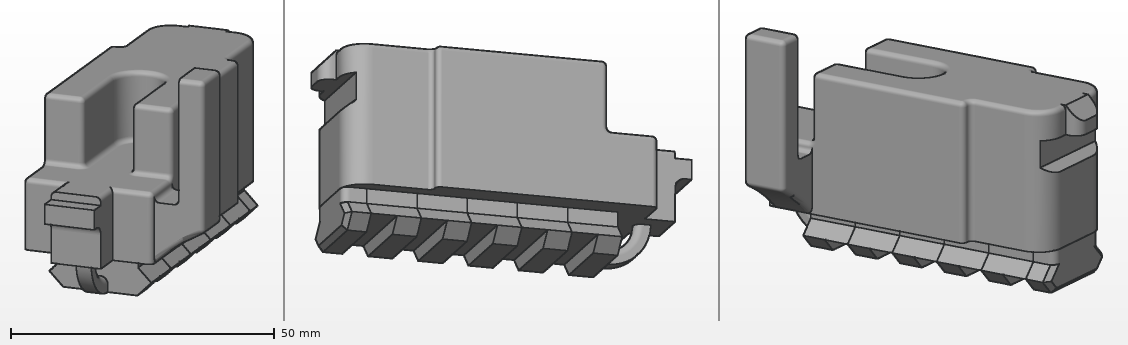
import cadquery as cq


OVERALL_LENGTH = 73.6
HOUSING_HALF_WIDTH = 13.2
HOUSING_HEIGHT = 28.1
SHOULDER_Y = 44.1
NOSE_HALF_WIDTH = 10.75
NOSE_END_Y = 61.15
NOSE_CORNER_RADIUS = 5.0
EDGE_RADIUS = 1.0

FLOOR_Z = 14.2
STEP_WALL_Y = 10.0
SLOT_HALF_WIDTH = 5.0
SLOT_ARC_CENTER_Y = 25.55

HOOK_HALF_WIDTH = 4.0
HOOK_TIP_Y = 64.25
HOOK_CORNER_RADIUS = 2.3
UNDERCUT_TOP_Z = 22.2
UNDERCUT_DEPTH = 2.05
UNDERCUT_WALL_BOTTOM_Z = 16.85
UNDERCUT_BOTTOM_Z = 15.4

STEM_HALF_WIDTH = 5.1
STEM_END_Y = -6.0
TAB_END_Y = HOOK_TIP_Y - OVERALL_LENGTH
TAB_TOP_Z = 12.6
TAB_BOTTOM_Z = 8.7
TAB_FILLET_RADIUS = 2.0

ARM_OUTER_X = 23.25
ARM_INNER_X = 18.2
ARM_TOP_Z = 37.1
ARM_FLOOR_Z = FLOOR_Z - 2 * EDGE_RADIUS
ARM_CORNER_Z = 7.1
ARM_UNDERSIDE_RADIUS = 40.05
ARM_REAR_Y = EDGE_RADIUS
ARM_FRONT_Y = STEP_WALL_Y

RAIL_SEGMENTS = 6
RAIL_PITCH = 10.0
TOOTH_LENGTH = 4.85
RAIL_FRONT_Y = NOSE_END_Y
RAIL_REAR_Y = RAIL_FRONT_Y - (RAIL_SEGMENTS - 1) * RAIL_PITCH - TOOTH_LENGTH
NECK_HALF_WIDTH = 7.7
NECK_BOTTOM_Z = -2.95
DOVETAIL_HALF_WIDTH = 10.45
DOVETAIL_WIDEST_Z = NECK_BOTTOM_Z - (DOVETAIL_HALF_WIDTH - NECK_HALF_WIDTH)
RAIL_BOTTOM_Z = -8.55
RAIL_BOTTOM_HALF_WIDTH = DOVETAIL_HALF_WIDTH - (DOVETAIL_WIDEST_Z - RAIL_BOTTOM_Z)
RAIL_FRONT_CHAMFER = 1.0
NECK_FRONT_RADIUS = 1.5

GUARD_WIDTH = 3.1

OVERLAP = 3.7
MARGIN = 0.1


def block(x_range, y_range, z_range):
    """Box between the given limits."""
    size = [high - low for low, high in (x_range, y_range, z_range)]
    corner = (x_range[0], y_range[0], z_range[0])
    return cq.Workplane("XY").box(*size, centered=False).translate(corner)


def side_prism(points, half_width):
    """Prism across X, centred on X = 0, from (Y, Z) points."""
    return cq.Workplane("YZ").polyline(points).close().extrude(half_width, both=True)


def make_shell():
    """Main block with nose, step and slot, all edges above its bottom rounded."""
    wide = block(
        (-HOUSING_HALF_WIDTH, HOUSING_HALF_WIDTH), (0, SHOULDER_Y), (0, HOUSING_HEIGHT))
    nose = block(
        (-NOSE_HALF_WIDTH, NOSE_HALF_WIDTH), (SHOULDER_Y - OVERLAP, NOSE_END_Y), (0, HOUSING_HEIGHT))
    nose = nose.edges("|Z and >Y").fillet(NOSE_CORNER_RADIUS)
    shell = wide.union(nose)
    reach = HOUSING_HALF_WIDTH + OVERLAP
    shoulders = cq.selectors.BoxSelector(
        (-reach, SHOULDER_Y - MARGIN, 0), (reach, SHOULDER_Y + MARGIN, HOUSING_HEIGHT))
    shell = shell.edges(shoulders).edges("|Z").fillet(EDGE_RADIUS)

    cut_top = HOUSING_HEIGHT + OVERLAP
    step = block((-reach, reach), (-OVERLAP, STEP_WALL_Y), (FLOOR_Z, cut_top))
    slot = (
        cq.Workplane("XY", origin=(0, 0, FLOOR_Z))
        .moveTo(-SLOT_HALF_WIDTH, 0)
        .lineTo(-SLOT_HALF_WIDTH, SLOT_ARC_CENTER_Y)
        .threePointArc((0, SLOT_ARC_CENTER_Y + SLOT_HALF_WIDTH), (SLOT_HALF_WIDTH, SLOT_ARC_CENTER_Y))
        .lineTo(SLOT_HALF_WIDTH, 0)
        .close()
        .extrude(cut_top - FLOOR_Z)
    )
    shell = shell.cut(step.union(slot))

    slot_mouth = cq.selectors.BoxSelector(
        (-SLOT_HALF_WIDTH - MARGIN, STEP_WALL_Y - MARGIN, FLOOR_Z),
        (SLOT_HALF_WIDTH + MARGIN, STEP_WALL_Y + MARGIN, HOUSING_HEIGHT))
    shell = shell.edges(slot_mouth).edges("|Z").fillet(EDGE_RADIUS)
    wall_foot = cq.selectors.BoxSelector(
        (-reach, STEP_WALL_Y - MARGIN, FLOOR_Z - MARGIN),
        (reach, SHOULDER_Y, FLOOR_Z + MARGIN), boundingbox=True)
    shell = shell.edges(wall_foot).fillet(EDGE_RADIUS)

    shell = shell.edges("|Z and <Y").fillet(EDGE_RADIUS)
    step_box = cq.selectors.BoxSelector(
        (-reach, -MARGIN, FLOOR_Z - MARGIN),
        (reach, STEP_WALL_Y + MARGIN, HOUSING_HEIGHT), boundingbox=True)
    step_sides = shell.faces("<X or >X").edges(step_box)
    return shell.faces(">Z").edges().add(step_sides).fillet(EDGE_RADIUS)


def make_hook():
    """Rounded tongue on the nose, its top front edge cut off at 45 degrees."""
    root_y = NOSE_END_Y - OVERLAP
    hook = block(
        (-HOOK_HALF_WIDTH, HOOK_HALF_WIDTH), (root_y, HOOK_TIP_Y), (UNDERCUT_TOP_Z, HOUSING_HEIGHT))
    hook = hook.edges("|Z and >Y").fillet(HOOK_CORNER_RADIUS)
    overhang = HOOK_TIP_Y - NOSE_END_Y
    slope = side_prism(
        [(NOSE_END_Y, HOUSING_HEIGHT),
         (HOOK_TIP_Y, HOUSING_HEIGHT),
         (HOOK_TIP_Y, HOUSING_HEIGHT - overhang)],
        HOOK_HALF_WIDTH)
    return hook.cut(slope)


def make_undercut():
    """Cutter for the recess across the nose below the hook."""
    wall_y = NOSE_END_Y - UNDERCUT_DEPTH
    return side_prism(
        [(NOSE_END_Y, UNDERCUT_BOTTOM_Z),
         (wall_y, UNDERCUT_WALL_BOTTOM_Z),
         (wall_y, UNDERCUT_TOP_Z),
         (HOOK_TIP_Y, UNDERCUT_TOP_Z),
         (HOOK_TIP_Y, UNDERCUT_BOTTOM_Z)],
        HOUSING_HALF_WIDTH)


def make_stem():
    """Rear stem with rounded top sides and a tab standing out of its end."""
    stem = block((-STEM_HALF_WIDTH, STEM_HALF_WIDTH), (STEM_END_Y, OVERLAP), (0, FLOOR_Z))
    stem = stem.edges("|Y and >Z").fillet(EDGE_RADIUS)
    tab = block(
        (-STEM_HALF_WIDTH, STEM_HALF_WIDTH), (TAB_END_Y, STEM_END_Y), (TAB_BOTTOM_Z, TAB_TOP_Z))
    tab_root = (
        cq.Workplane("YZ", origin=(-STEM_HALF_WIDTH, 0, 0))
        .moveTo(STEM_END_Y, TAB_BOTTOM_Z)
        .lineTo(STEM_END_Y - TAB_FILLET_RADIUS, TAB_BOTTOM_Z)
        .radiusArc((STEM_END_Y, TAB_BOTTOM_Z - TAB_FILLET_RADIUS), TAB_FILLET_RADIUS)
        .close()
        .extrude(2 * STEM_HALF_WIDTH)
    )
    return stem.union(tab).union(tab_root)


def make_arm():
    """L-shaped arm with a concave underside, rounded on its outer edges only."""
    root_x = HOUSING_HALF_WIDTH - OVERLAP
    arm = (
        cq.Workplane("XZ", origin=(0, ARM_FRONT_Y, 0))
        .moveTo(root_x, 0)
        .lineTo(HOUSING_HALF_WIDTH, 0)
        .radiusArc((ARM_OUTER_X, ARM_CORNER_Z), ARM_UNDERSIDE_RADIUS)
        .lineTo(ARM_OUTER_X, ARM_TOP_Z)
        .lineTo(ARM_INNER_X, ARM_TOP_Z)
        .lineTo(ARM_INNER_X, ARM_FLOOR_Z + EDGE_RADIUS)
        .radiusArc((ARM_INNER_X - EDGE_RADIUS, ARM_FLOOR_Z), EDGE_RADIUS)
        .lineTo(HOUSING_HALF_WIDTH + EDGE_RADIUS, ARM_FLOOR_Z)
        .radiusArc((HOUSING_HALF_WIDTH, ARM_FLOOR_Z + EDGE_RADIUS), EDGE_RADIUS)
        .lineTo(root_x, ARM_FLOOR_Z + EDGE_RADIUS)
        .close()
        .extrude(ARM_FRONT_Y - ARM_REAR_Y)
    )
    top_sides = arm.faces(">Z").edges("|X")
    underside_box = cq.selectors.BoxSelector(
        (HOUSING_HALF_WIDTH, 0, 0), (ARM_OUTER_X, ARM_FRONT_Y + MARGIN, ARM_CORNER_Z))
    underside_sides = arm.edges("%CIRCLE").edges(underside_box)
    return arm.faces(">X").edges().add(top_sides).add(underside_sides).fillet(EDGE_RADIUS)


def make_housing():
    """Block with hook, undercut, stem and arm in one piece."""
    block_with_recess = make_shell().cut(make_undercut())
    return block_with_recess.union(make_hook()).union(make_stem()).union(make_arm())


def dovetail_section(rear_y, length):
    """Lower part of the rail: a six-sided bar along Y."""
    half_points = [
        (NECK_HALF_WIDTH, NECK_BOTTOM_Z),
        (DOVETAIL_HALF_WIDTH, DOVETAIL_WIDEST_Z),
        (RAIL_BOTTOM_HALF_WIDTH, RAIL_BOTTOM_Z),
    ]
    mirrored_points = [(-x, z) for x, z in reversed(half_points)]
    return (
        cq.Workplane("XZ", origin=(0, rear_y + length, 0))
        .polyline(half_points + mirrored_points)
        .close()
        .extrude(length)
    )


def make_front_segment():
    """Foremost rail segment: one short tooth with a bevelled front end."""
    rear_y = RAIL_FRONT_Y - TOOTH_LENGTH
    dovetail = dovetail_section(rear_y, TOOTH_LENGTH)
    dovetail = dovetail.faces(">Y").edges("not >Z").chamfer(RAIL_FRONT_CHAMFER)
    neck = block(
        (-NECK_HALF_WIDTH, NECK_HALF_WIDTH), (rear_y, RAIL_FRONT_Y), (NECK_BOTTOM_Z, 0))
    neck = neck.edges("|Z and >Y").fillet(NECK_FRONT_RADIUS)
    return dovetail.union(neck)


def make_segment(rear_y):
    """One full rail pitch: a tooth at its rear and a gap cut up to the widest line."""
    front_y = rear_y + RAIL_PITCH
    neck = block((-NECK_HALF_WIDTH, NECK_HALF_WIDTH), (rear_y, front_y), (NECK_BOTTOM_Z, 0))
    gap = block(
        (-DOVETAIL_HALF_WIDTH, DOVETAIL_HALF_WIDTH),
        (rear_y + TOOTH_LENGTH, front_y),
        (RAIL_BOTTOM_Z, DOVETAIL_WIDEST_Z))
    return dovetail_section(rear_y, RAIL_PITCH).union(neck).cut(gap)


def make_guard():
    """Quarter ring from the rail's rear end up to the housing, its inner side rounded."""
    outer_radius = -RAIL_BOTTOM_Z
    half_width = GUARD_WIDTH / 2
    middle_radius = outer_radius - half_width
    section = (
        cq.Workplane("XZ", origin=(0, RAIL_REAR_Y, 0))
        .moveTo(-half_width, -outer_radius)
        .lineTo(half_width, -outer_radius)
        .lineTo(half_width, -middle_radius)
        .threePointArc((0, half_width - middle_radius), (-half_width, -middle_radius))
        .close()
    )
    return section.revolve(90, (0, 0, 0), (-1, 0, 0))


housing = make_housing()
front_segment = make_front_segment()
segments = [make_segment(RAIL_REAR_Y + i * RAIL_PITCH) for i in range(RAIL_SEGMENTS - 1)]
guard = make_guard()

result = cq.Compound.makeCompound([
    housing.val(),
    front_segment.val(),
    *[segment.val() for segment in segments],
    guard.val(),
])